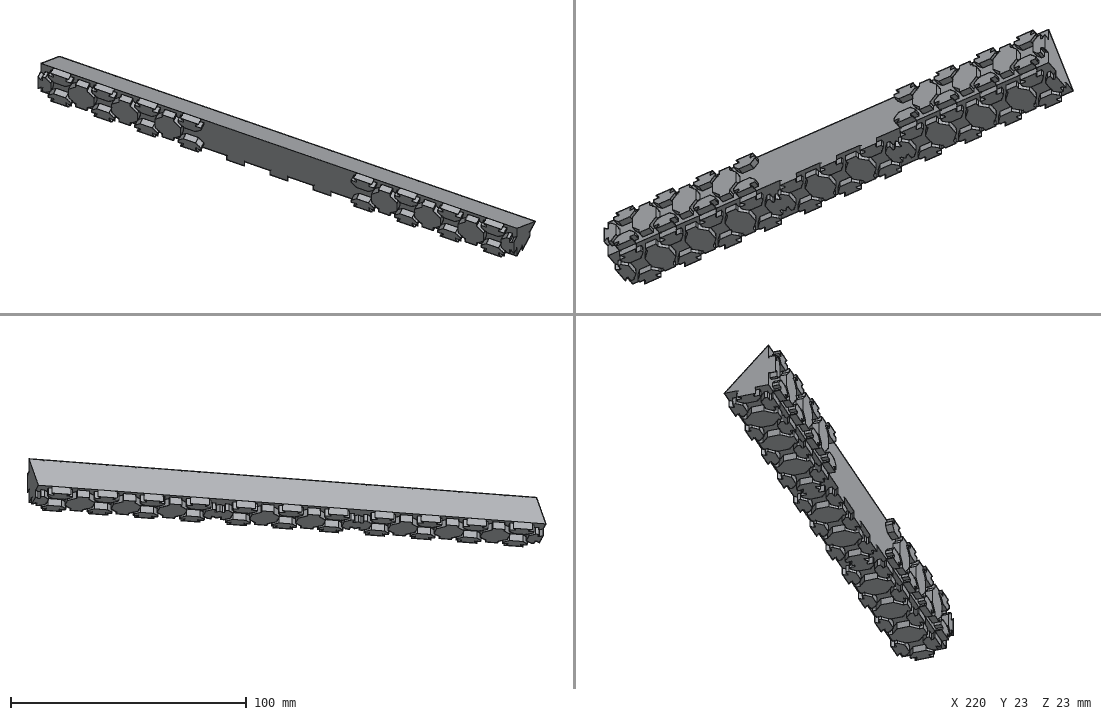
import cadquery as cq

LENGTH = 220.0
OVERALL = 23.0
CELL_COUNT = 11
END_GROUP = 4

CELL = LENGTH / CELL_COUNT
PAD_HEIGHT = OVERALL - CELL

PAD_DEPTH = 6.0
TIP_HALF = 2.9
END_HALF = 2.6
NECK_HALF = 2.9
EDGE_GAP = 2.1
TAB_HALF = 5.3
ROOT_HALF = 4.2

CHAMFER_SUM = PAD_DEPTH + TIP_HALF
ROOT_FLARE = ROOT_HALF - NECK_HALF


def make_body():
    """Right-angled triangular bar with its square corner on the X axis."""
    corners = [(0, 0), (CELL, 0), (0, CELL)]
    return cq.Workplane("YZ").polyline(corners).close().extrude(LENGTH)


def extrude_outline(points):
    """Solid of pad height hanging below Z = 0 with the given XY outline."""
    return cq.Workplane("XY").polyline(points).close().extrude(-PAD_HEIGHT)


def make_tab():
    """Edge tab rooted on the X axis and reaching towards +Y."""
    right_side = [
        (ROOT_HALF, 0),
        (NECK_HALF, ROOT_FLARE),
        (NECK_HALF, EDGE_GAP),
        (TAB_HALF, EDGE_GAP),
        (TAB_HALF, CHAMFER_SUM - TAB_HALF),
        (TIP_HALF, PAD_DEPTH),
    ]
    left_side = [(-x, y) for x, y in reversed(right_side)]
    return extrude_outline(right_side + left_side)


def make_full_pad():
    """Stretched octagonal pad with short straight ends, centred on the border of two cells."""
    end = CELL / 2 - EDGE_GAP
    upper_right = [
        (PAD_DEPTH, TIP_HALF),
        (END_HALF, CHAMFER_SUM - END_HALF),
        (END_HALF, end),
    ]
    upper = upper_right + [(-x, y) for x, y in reversed(upper_right)]
    lower = [(-x, -y) for x, y in upper]
    return extrude_outline(upper + lower)


def turn(pad, angle):
    """Turn a pad about the Z axis, within the plane of the bottom face."""
    return pad.rotate((0, 0, 0), (0, 0, 1), angle)


def group_pads(first, count, tab_at_start, tab_at_end):
    """Bottom-face pads for a run of neighbouring cells, with optional tabs at its two ends."""
    tab = make_tab()
    full_pad = make_full_pad()
    middle = CELL / 2
    pads = []
    for cell in range(first, first + count):
        centre = (cell + 0.5) * CELL
        pads.append(tab.translate((centre, 0, 0)))
        pads.append(turn(tab, 180).translate((centre, CELL, 0)))
    for border in range(first + 1, first + count):
        pads.append(full_pad.translate((border * CELL, middle, 0)))
    if tab_at_start:
        pads.append(turn(tab, -90).translate((first * CELL, middle, 0)))
    if tab_at_end:
        pads.append(turn(tab, 90).translate(((first + count) * CELL, middle, 0)))
    return pads


def to_front(pad):
    """Swap Y and Z, which carries a bottom pad onto the front face."""
    return pad.mirror("XY").rotate((0, 0, 0), (1, 0, 0), 90)


middle_count = CELL_COUNT - 2 * END_GROUP
last_group = CELL_COUNT - END_GROUP

bottom_pads = (
    group_pads(0, END_GROUP, True, True)
    + group_pads(END_GROUP, middle_count, True, True)
    + group_pads(last_group, END_GROUP, True, True)
)

front_pads = [
    to_front(pad)
    for pad in group_pads(0, END_GROUP, True, False) + group_pads(last_group, END_GROUP, False, True)
]

result = make_body()
for pad in bottom_pads + front_pads:
    result = result.union(pad)